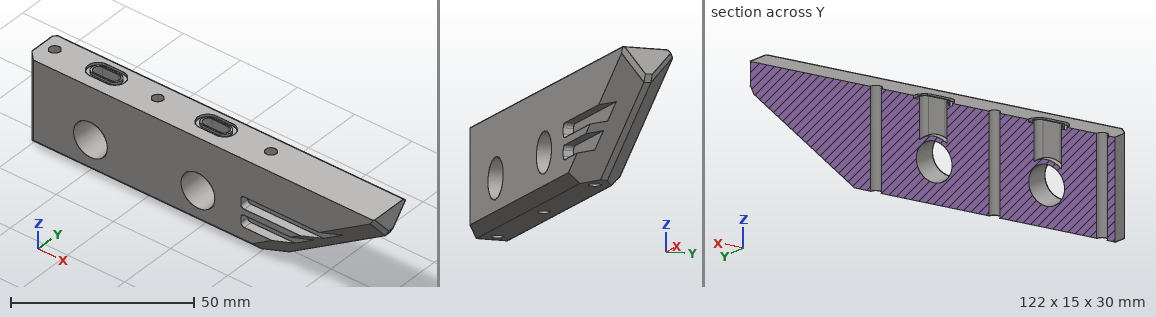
import cadquery as cq
import math

LENGTH = 122.0
THICKNESS = 15.01
HEIGHT = 30.0
MID_Y = THICKNESS / 2

EDGE_CHAMFER = 3.0
TOP_REAR_CHAMFER = 2.0

RAKE_ANGLE = 31.6
BEVEL_DEPTH = 6.5
NOSE_CORNER_Z = 29.1
TIP_CHAMFER = 1.4

CROSS_HOLE_DIAMETER = 11.8
CROSS_HOLE_Z = 12.2
CROSS_HOLE_XS = (22.9, 60.5)

SLOT_XS = (22.5, 60.85)
MOAT_LENGTH = 12.8
MOAT_WIDTH = 7.0
MOAT_DEPTH = 0.8
LIP_LENGTH = 10.3
LIP_WIDTH = 4.3
SLOT_LENGTH = 9.0
SLOT_WIDTH = 3.4
ARCH_WALL = 1.5

PIN_HOLE_DIAMETER = 3.5
PIN_HOLE_XS = (4.4, 40.4, 80.0)

GROOVE_START_X = 75.5
GROOVE_HEIGHT = 4.1
GROOVE_BOTTOM_ZS = (7.15, 13.3)
GROOVE_DEPTH = 3.0
GROOVE_CORNER_RADIUS = 1.2


def make_bar():
    """Rectangular bar with all its straight chamfers."""
    bar = cq.Workplane("XY").box(LENGTH, THICKNESS, HEIGHT, centered=False)
    bar = bar.edges("<X and |Z").chamfer(EDGE_CHAMFER)
    bar = bar.edges("<Z and |X").chamfer(EDGE_CHAMFER)
    return bar.edges(">Z and >Y and |X").chamfer(TOP_REAR_CHAMFER)


def make_nose_profile(drop):
    """X-Z region below the raked nose line, lowered by drop; it also clips the tip corner."""
    rake = math.radians(RAKE_ANGLE)
    corner_z = NOSE_CORNER_Z - drop
    rake_start_x = LENGTH - TIP_CHAMFER * math.cos(rake)
    rake_start_z = corner_z - TIP_CHAMFER * math.sin(rake)
    low_z = -HEIGHT
    low_x = rake_start_x - (rake_start_z - low_z) / math.tan(rake)
    return (
        cq.Workplane("XZ")
        .moveTo(LENGTH, corner_z + TIP_CHAMFER)
        .lineTo(rake_start_x, rake_start_z)
        .lineTo(low_x, low_z)
        .lineTo(LENGTH, low_z)
        .close()
    )


def cut_nose(body):
    """Rake the nose and bevel it alike from the front and from the rear."""
    drop = BEVEL_DEPTH / math.cos(math.radians(RAKE_ANGLE))
    wall = make_nose_profile(drop).extrude(-THICKNESS)
    outline = make_nose_profile(0).wires().val()
    front = cq.Workplane(obj=cq.Solid.extrudeLinear(outline, [], cq.Vector(0, BEVEL_DEPTH, -drop)))
    rear = front.mirror("XZ", (0, MID_Y, 0))
    return body.cut(wall).cut(front).cut(rear)


def make_cylinder(x, diameter):
    """Cylinder along Y through the full thickness, at the height of the cross holes."""
    plane = cq.Workplane("XZ", origin=(x, 0, CROSS_HOLE_Z))
    return plane.circle(diameter / 2).extrude(-THICKNESS)


def cut_cross_hole(body, x, slot_x):
    """Through hole along Y, and above it a lipped slot that stops at a thin arched wall."""
    top = cq.Workplane("XY", origin=(slot_x, MID_Y, HEIGHT))
    lip = top.slot2D(LIP_LENGTH, LIP_WIDTH).extrude(-MOAT_DEPTH)
    moat = top.slot2D(MOAT_LENGTH, MOAT_WIDTH).extrude(-MOAT_DEPTH).cut(lip)
    slot = top.slot2D(SLOT_LENGTH, SLOT_WIDTH).extrude(CROSS_HOLE_Z - HEIGHT)
    arch = make_cylinder(x, CROSS_HOLE_DIAMETER + 2 * ARCH_WALL)
    hole = make_cylinder(x, CROSS_HOLE_DIAMETER)
    return body.cut(moat).cut(slot.cut(arch)).cut(hole)


def cut_pin_holes(body):
    """Vertical holes through the full height on the mid plane."""
    centers = [(x, MID_Y) for x in PIN_HOLE_XS]
    return body.cut(cq.Workplane("XY").pushPoints(centers).circle(PIN_HOLE_DIAMETER / 2).extrude(HEIGHT))


def cut_groove(body, bottom_z):
    """Flat-bottomed groove with rounded corners at its closed end."""
    groove = (
        cq.Workplane("XY", origin=(GROOVE_START_X, 0, bottom_z))
        .box(LENGTH - GROOVE_START_X, GROOVE_DEPTH, GROOVE_HEIGHT, centered=False)
        .edges("<X and |Y")
        .fillet(GROOVE_CORNER_RADIUS)
    )
    return body.cut(groove)


result = cut_nose(make_bar())
for hole_x, slot_x in zip(CROSS_HOLE_XS, SLOT_XS):
    result = cut_cross_hole(result, hole_x, slot_x)
result = cut_pin_holes(result)
for groove_z in GROOVE_BOTTOM_ZS:
    result = cut_groove(result, groove_z)